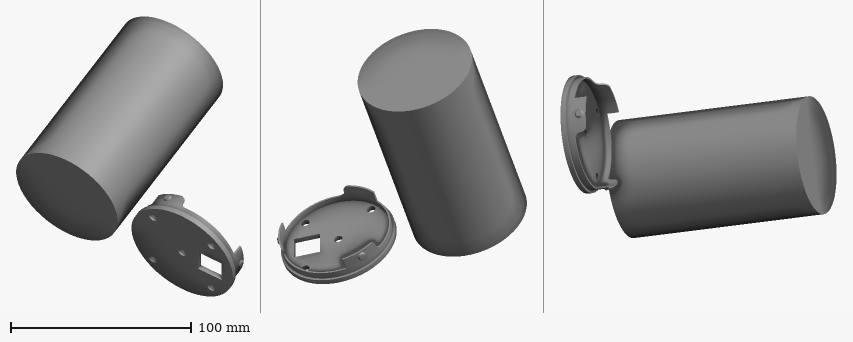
import cadquery as cq

outer_diameter = 66.0
body_spacing = 75.0

housing_length = 112.0

plate_thickness = 3.0
hole_diameter = 5.0
corner_hole_pitch = 38.0
window_size = 15.0
window_offset = 18.0

rim_outer_radius = 63.0 / 2
rim_inner_radius = 61.0 / 2
rim_top = 7.0
tab_top = 14.0
tab_angles = (0, 120, 240)
tab_half_width = 20.8 / 2
tab_corner_radius = 3.5
tab_root_radius = tab_top - rim_top - tab_corner_radius

bump_base_diameter = 5.0
bump_tip_diameter = 3.5
bump_tip_radius = 32.5
bump_height = (rim_top + tab_top) / 2


def make_housing():
    """Plain round housing lying along Y."""
    return cq.Workplane("XZ").circle(outer_diameter / 2).extrude(-housing_length)


def make_plate():
    """Round plate with a centre hole, four corner holes and a square window."""
    plate = cq.Workplane("XY").circle(outer_diameter / 2).extrude(plate_thickness)
    centre_hole = cq.Workplane("XY").circle(hole_diameter / 2).extrude(plate_thickness)
    corner_holes = (
        cq.Workplane("XY")
        .rect(corner_hole_pitch, corner_hole_pitch, forConstruction=True)
        .vertices()
        .circle(hole_diameter / 2)
        .extrude(plate_thickness)
    )
    window = (
        cq.Workplane("XY")
        .center(window_offset, 0)
        .rect(window_size, window_size)
        .extrude(plate_thickness)
    )
    return plate.cut(centre_hole).cut(corner_holes).cut(window)


def make_ring(top):
    """Thin wall standing on the plate and reaching up to the given height."""
    return (
        cq.Workplane("XY")
        .workplane(offset=plate_thickness)
        .circle(rim_outer_radius)
        .circle(rim_inner_radius)
        .extrude(top - plate_thickness)
    )


def make_tab():
    """Tab on the +X side: one square edge, and one edge sweeping down to the rim in an S curve."""
    profile = (
        cq.Workplane("YZ")
        .moveTo(-tab_half_width, rim_top)
        .lineTo(-tab_half_width, tab_top)
        .lineTo(tab_half_width - tab_corner_radius, tab_top)
        .radiusArc((tab_half_width, tab_top - tab_corner_radius), tab_corner_radius)
        .radiusArc((tab_half_width + tab_root_radius, rim_top), -tab_root_radius)
        .close()
        .extrude(outer_diameter / 2)
    )
    return make_ring(tab_top).intersect(profile)


def make_bump():
    """Snap bump pointing outward along +X: a short round root in the wall and a tapered tip."""
    root_radius = (rim_inner_radius + rim_outer_radius) / 2
    return (
        cq.Workplane("XY")
        .moveTo(root_radius, 0)
        .lineTo(root_radius, bump_base_diameter / 2)
        .lineTo(rim_outer_radius, bump_base_diameter / 2)
        .lineTo(bump_tip_radius, bump_tip_diameter / 2)
        .lineTo(bump_tip_radius, 0)
        .close()
        .revolve(360, (0, 0, 0), (1, 0, 0))
        .translate((0, 0, bump_height))
    )


def make_lid():
    """Lid built with its axis along Z, then turned so the rim points along +Y."""
    lid = make_plate().union(make_ring(rim_top))
    snap_tab = make_tab().union(make_bump())
    for angle in tab_angles:
        lid = lid.union(snap_tab.rotate((0, 0, 0), (0, 0, 1), angle))
    return lid.rotate((0, 0, 0), (1, 0, 0), -90).translate((body_spacing, 0, 0))


housing = make_housing()
lid = make_lid()

result = cq.Compound.makeCompound([housing.val(), lid.val()])